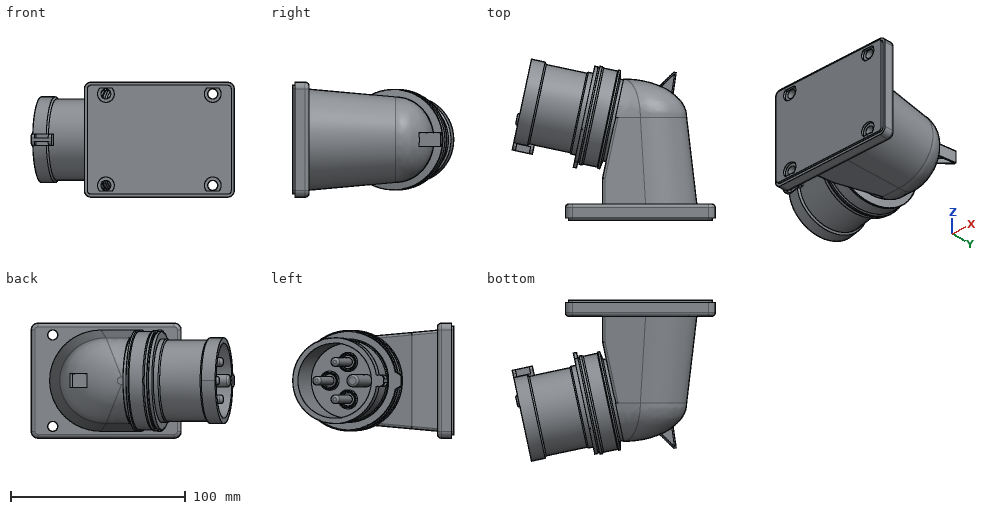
import cadquery as cq
import math


PLATE_LENGTH = 86.0
PLATE_WIDTH = 66.0
PLATE_TOP = 9.4
PLATE_CORNER = 4.0
PLATE_EDGE_FILLET = 2.2
LIP_INSET = 1.8
LIP_HEIGHT = 1.3
LIP_CORNER = 2.0

HOLE_PITCH_X = 61.2
HOLE_PITCH_Z = 52.4
HOLE_DIAMETER = 5.6
RECESS_DIAMETER = 9.6
RECESS_DEPTH = 1.5
RECESS_FLAT_Z = 29.5

HOUSING_FRONT_X = -21.7
HOUSING_BASE_BACK_X = 32.4
HOUSING_BASE_HALF_WIDTH = 29.0
HOUSING_BASE_ROUND_X = 3.0
HOUSING_EDGE_FILLET = 1.5
DOME_CENTRE_X = -9.6
DOME_BASE_Y = 59.0
DOME_BASE_ROUND_X = 0.0
DOME_SECTION_ANGLES = (0, 20, 40, 55, 70, 80, 85)
DOME_LENGTH = 36.2
DOME_HEIGHT = 22.0
DOME_HALF_WIDTH = 24.5

FIN_OUTLINE = [(9.0, 75.0), (19.2, 84.9), (20.6, 84.7), (18.2, 68.0)]
FIN_THICKNESS = 8.0
FIN_RIM = 0.9
FIN_RECESS_DEPTH = 3.0

TILT = 12.0
RIM_DIAMETER = 49.2
BODY_DIAMETER = 46.73
STEP_DIAMETER = 48.02
GROOVE_DIAMETER = 55.4
FLANGE_DIAMETER = 56.4
BEAD_DIAMETER = 57.7
RIM_CENTRE_X = -67.5
RIM_TOP_Y = 92.37
RIM_LENGTH = 8.0
RIM_CHAMFER_END = 9.0
STEP_START = 32.7
STEP_CONE_END = 33.5
FLANGE_START = 36.3
FLANGE_END = 38.3
FRONT_BEAD_START = 39.2
FRONT_BEAD_END = 40.6
BARREL_START = 41.6
BARREL_END = 49.7
BACK_BEAD_START = 50.2
BACK_BEAD_END = 51.3
NECK_START = 52.2
HOUSING_FACE = 54.0
NECK_END = HOUSING_FACE + 1.0

CAVITY_DIAMETER = 43.0
CAVITY_DEPTH = 37.0
PIN_CIRCLE_RADIUS = 10.7
PIN_DIAMETER = 5.0
PIN_TIP = 0.5
PIN_TIP_FILLET = 1.5
EARTH_DIAMETER = 7.0
EARTH_TIP = -1.2
EARTH_TIP_FILLET = 1.3
COLLAR_DIAMETER = 11.0
COLLAR_BORE = 7.6
COLLAR_HEIGHT = 1.2
COLLAR_CHAMFER = 0.7

KEY_WIDTH = 6.4
KEY_LENGTH = 11.9
KEY_REACH = 28.7
KEY_END_LENGTH = 1.9
KEY_WEB_WIDTH = 2.0
KEY_FILLET = 2.1
KEY_ROOT_OVERLAP = 1.0
FLANGE_KEY_TIP_WIDTH = 6.0
FLANGE_KEY_ROOT_WIDTH = 11.0
FLANGE_KEY_ROOT = 27.0
FLANGE_KEY_REACH = 31.1

tilt = math.radians(TILT)
rim_radius = RIM_DIAMETER / 2
rim_centre_y = RIM_TOP_Y - rim_radius * math.cos(tilt)
plug_plane = cq.Plane(
    origin=(RIM_CENTRE_X, rim_centre_y, 0),
    xDir=(math.sin(tilt), math.cos(tilt), 0),
    normal=(math.cos(tilt), -math.sin(tilt), 0),
)


def level(y):
    """Workplane parallel to the plate at height y; local X is X and local Y is -Z."""
    return cq.Workplane("XZ", origin=(0, y, 0)).transformed(rotate=(180, 0, 0))


def across(along):
    """Workplane square to the plug axis at a distance along it."""
    return cq.Workplane(plug_plane).workplane(offset=along)


def make_plate():
    slab = level(LIP_HEIGHT).rect(PLATE_LENGTH, PLATE_WIDTH).extrude(PLATE_TOP - LIP_HEIGHT)
    slab = slab.edges("|Y").fillet(PLATE_CORNER)
    slab = slab.faces(">Y").edges().fillet(PLATE_EDGE_FILLET)
    lip = level(0).rect(PLATE_LENGTH - 2 * LIP_INSET, PLATE_WIDTH - 2 * LIP_INSET)
    lip = lip.extrude(LIP_HEIGHT).edges("|Y").fillet(LIP_CORNER)
    return slab.union(lip)


def cut_screw_holes(body):
    recess_band = level(0).rect(PLATE_LENGTH, 2 * RECESS_FLAT_Z).extrude(RECESS_DEPTH)
    pattern = level(0).rect(HOLE_PITCH_X, HOLE_PITCH_Z, forConstruction=True).vertices()
    recesses = pattern.circle(RECESS_DIAMETER / 2).extrude(RECESS_DEPTH).intersect(recess_band)
    holes = pattern.circle(HOLE_DIAMETER / 2).extrude(PLATE_TOP)
    return body.cut(recesses).cut(holes)


def add_housing_section(workplane, half_width, round_x, back_x):
    """D-shaped section: flat front, straight sides and a half-elliptical back."""
    return (
        workplane.moveTo(round_x, half_width)
        .lineTo(HOUSING_FRONT_X, half_width)
        .lineTo(HOUSING_FRONT_X, -half_width)
        .lineTo(round_x, -half_width)
        .ellipseArc(back_x - round_x, half_width, -90, 90, startAtCurrent=True, sense=1)
        .close()
    )


def make_tower():
    rise = DOME_BASE_Y - PLATE_TOP
    tower = add_housing_section(
        level(PLATE_TOP), HOUSING_BASE_HALF_WIDTH, HOUSING_BASE_ROUND_X, HOUSING_BASE_BACK_X
    ).workplane(offset=rise)
    return add_housing_section(
        tower, DOME_HALF_WIDTH, DOME_BASE_ROUND_X, DOME_CENTRE_X + DOME_LENGTH
    ).loft(ruled=True, combine=True)


def make_dome():
    """Vault over the tower: sections shrink with height along a quarter ellipse."""
    wires = []
    for angle in DOME_SECTION_ANGLES:
        rise = DOME_HEIGHT * math.sin(math.radians(angle))
        shrink = math.cos(math.radians(angle))
        section = add_housing_section(
            level(DOME_BASE_Y + rise),
            DOME_HALF_WIDTH * shrink,
            DOME_CENTRE_X + (DOME_BASE_ROUND_X - DOME_CENTRE_X) * shrink,
            DOME_CENTRE_X + DOME_LENGTH * shrink,
        )
        wires.append(section.wire().val())
    return cq.Workplane(cq.Solid.makeLoft(wires))


def trim_to_face(shape):
    """Remove everything in front of the tilted face the plug stands on."""
    clearance = 4 * DOME_LENGTH
    return shape.cut(across(HOUSING_FACE).rect(clearance, clearance).extrude(-clearance))


def round_front_edges(tower):
    front_corner = (HOUSING_FRONT_X - 1, PLATE_TOP + 1, -PLATE_WIDTH)
    back_corner = (DOME_CENTRE_X - 2, DOME_BASE_Y - 1, PLATE_WIDTH)
    side_edges = tower.edges(cq.selectors.BoxSelector(front_corner, back_corner)).edges("not |Z")
    return side_edges.fillet(HOUSING_EDGE_FILLET)


def make_fin():
    fin = cq.Workplane("XY").polyline(FIN_OUTLINE).close().extrude(FIN_THICKNESS / 2, both=True)
    recess = cq.Workplane("XY").polyline(FIN_OUTLINE).close().offset2D(-FIN_RIM)
    recess = recess.extrude(FIN_RECESS_DEPTH)
    for start in (-FIN_THICKNESS / 2, FIN_THICKNESS / 2 - FIN_RECESS_DEPTH):
        fin = fin.cut(recess.translate((0, 0, start)))
    return fin


def make_plug_shell():
    """Turned outer form of the plug with the socket cavity left solid."""
    outline = [
        (0, rim_radius),
        (RIM_LENGTH, rim_radius),
        (RIM_CHAMFER_END, BODY_DIAMETER / 2),
        (STEP_START, BODY_DIAMETER / 2),
        (STEP_CONE_END, STEP_DIAMETER / 2),
        (FLANGE_START, STEP_DIAMETER / 2),
        (FLANGE_START, FLANGE_DIAMETER / 2),
        (FLANGE_END, FLANGE_DIAMETER / 2),
        (FLANGE_END, GROOVE_DIAMETER / 2),
        (FRONT_BEAD_START, GROOVE_DIAMETER / 2),
        (FRONT_BEAD_START, BEAD_DIAMETER / 2),
        (FRONT_BEAD_END, BEAD_DIAMETER / 2),
        (BARREL_START, FLANGE_DIAMETER / 2),
        (BARREL_END, FLANGE_DIAMETER / 2),
        (BACK_BEAD_START, BEAD_DIAMETER / 2),
        (BACK_BEAD_END, BEAD_DIAMETER / 2),
        (NECK_START, STEP_DIAMETER / 2),
        (NECK_END, STEP_DIAMETER / 2),
    ]
    points = [(radius, along) for along, radius in outline]
    section = cq.Workplane(cq.Plane(plug_plane.origin, plug_plane.xDir, (0, 0, 1)))
    section = section.polyline([(0, 0)] + [(r, -a) for r, a in points] + [(0, -NECK_END)]).close()
    return section.revolve(360, (0, 0, 0), (0, 1, 0))


def make_pin(diameter, tip, tip_fillet, angle):
    x = PIN_CIRCLE_RADIUS * math.cos(math.radians(angle))
    y = PIN_CIRCLE_RADIUS * math.sin(math.radians(angle))
    pin = across(tip).center(x, y).circle(diameter / 2).extrude(CAVITY_DEPTH - tip)
    return pin.faces("<X").edges().fillet(tip_fillet)


def make_collar(angle):
    x = PIN_CIRCLE_RADIUS * math.cos(math.radians(angle))
    y = PIN_CIRCLE_RADIUS * math.sin(math.radians(angle))
    collar = across(CAVITY_DEPTH - COLLAR_HEIGHT).center(x, y)
    collar = collar.circle(COLLAR_DIAMETER / 2).circle(COLLAR_BORE / 2).extrude(COLLAR_HEIGHT)
    return collar.faces("<X").edges().chamfer(COLLAR_CHAMFER)


def make_rim_key():
    height = KEY_REACH - BODY_DIAMETER / 2 + KEY_ROOT_OVERLAP
    centre = -KEY_REACH + height / 2
    key = across(0).center(centre, 0).rect(height, KEY_WIDTH).extrude(KEY_LENGTH)
    key = key.edges(cq.selectors.ParallelDirSelector(plug_plane.zDir)).edges("<Y").fillet(KEY_FILLET)
    pocket_length = KEY_LENGTH - 2 * KEY_END_LENGTH
    pocket_depth = (KEY_WIDTH - KEY_WEB_WIDTH) / 2
    for side in (-1, 1):
        offset = side * (KEY_WIDTH - pocket_depth) / 2
        pocket = across(KEY_END_LENGTH).center(-KEY_REACH, offset)
        pocket = pocket.rect(2 * (KEY_REACH - rim_radius), pocket_depth).extrude(pocket_length)
        key = key.cut(pocket)
    return key


def make_flange_key():
    root = FLANGE_KEY_ROOT_WIDTH / 2
    tip = FLANGE_KEY_TIP_WIDTH / 2
    key = across(FLANGE_START).polyline([
        (-FLANGE_KEY_ROOT, -root),
        (-FLANGE_KEY_REACH, -tip),
        (-FLANGE_KEY_REACH, tip),
        (-FLANGE_KEY_ROOT, root),
    ])
    return key.close().extrude(FLANGE_END - FLANGE_START)


def make_plug():
    plug = make_plug_shell().union(make_rim_key()).union(make_flange_key())
    plug = plug.cut(across(0).circle(CAVITY_DIAMETER / 2).extrude(CAVITY_DEPTH))
    for angle in (0, 90, 270):
        plug = plug.union(make_pin(PIN_DIAMETER, PIN_TIP, PIN_TIP_FILLET, angle))
        plug = plug.union(make_collar(angle))
    return plug.union(make_pin(EARTH_DIAMETER, EARTH_TIP, EARTH_TIP_FILLET, 180))


body = make_plate().union(round_front_edges(trim_to_face(make_tower())))
body = body.union(make_plug()).union(trim_to_face(make_dome())).union(make_fin())
result = cut_screw_holes(body)